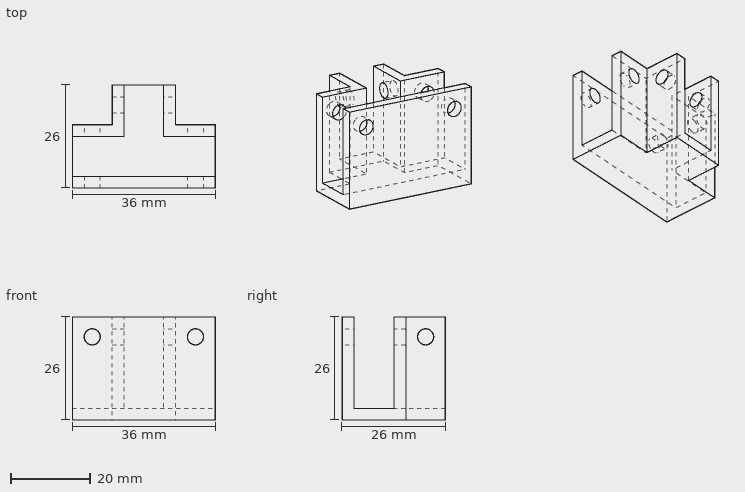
import cadquery as cq

wall = 3.0
channel_width = 10.0
arm_length = 10.0
height = 26.0
hole_diameter = 4.0
hole_inset = 5.0

body_width = channel_width + 2 * wall
length_x = body_width + 2 * arm_length
length_y = body_width + arm_length
hole_z = height - hole_inset


def block(x_size, y_size, z_size, y_start, z_start):
    """Box centred on X that starts at the given Y and Z."""
    return (
        cq.Workplane("XY")
        .box(x_size, y_size, z_size, centered=(True, False, False))
        .translate((0, y_start, z_start))
    )


def tee_body():
    """Solid T: a bar along X with a stem reaching toward +Y."""
    bar = block(length_x, body_width, height, 0, 0)
    stem = block(body_width, length_y, height, 0, 0)
    return bar.union(stem)


def tee_channel():
    """Open-topped T channel that leaves the walls and the floor."""
    depth = height - wall
    bar_channel = block(length_x, channel_width, depth, wall, wall)
    stem_channel = block(channel_width, length_y - wall, depth, wall, wall)
    return bar_channel.union(stem_channel)


def bar_holes():
    """Pin holes along Y through both walls of each bar arm."""
    hole_x = length_x / 2 - hole_inset
    return (
        cq.Workplane("XZ")
        .pushPoints([(-hole_x, hole_z), (hole_x, hole_z)])
        .circle(hole_diameter / 2)
        .extrude(-body_width)
    )


def stem_hole():
    """Pin hole along X through both walls of the stem."""
    return (
        cq.Workplane("YZ")
        .center(length_y - hole_inset, hole_z)
        .circle(hole_diameter / 2)
        .extrude(body_width / 2, both=True)
    )


result = tee_body().cut(tee_channel()).cut(bar_holes()).cut(stem_hole())